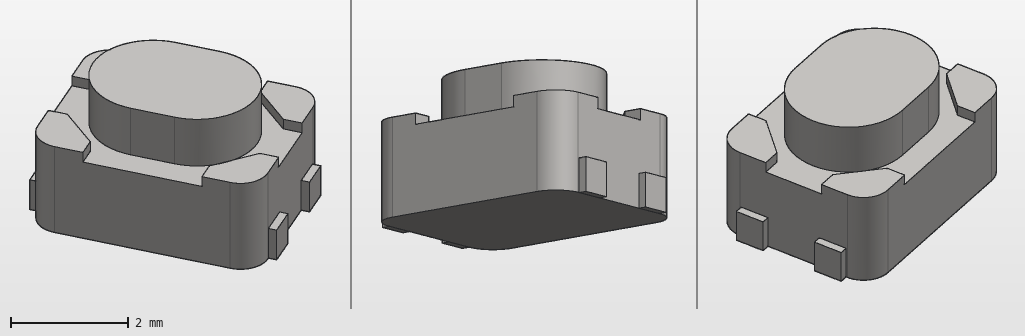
import cadquery as cq

total_length = 4.5
housing_width = 3.2
total_height = 2.5

housing_length = 4.2
housing_height = 1.75
corner_radius = 0.5
channel_depth = 0.2
channel_width_x = 2.17
channel_width_y = 1.145
pad_chamfer = 0.67

button_length = 3.0
button_width = 2.2

terminal_width = 0.55
terminal_height = 0.608
terminal_pitch = 1.6

floor_height = housing_height - channel_depth
button_height = total_height - floor_height
terminal_thickness = (total_length - housing_length) / 2
terminal_offset = (housing_length + terminal_thickness) / 2


def corner_pad_prism(x_side, y_side):
    """Pad with a chamfered inner corner, in the quadrant given by the signs."""
    inner_x = channel_width_x / 2
    inner_y = channel_width_y / 2
    outer_x = housing_length / 2
    outer_y = housing_width / 2
    outline = [
        (inner_x, outer_y),
        (inner_x, inner_y + pad_chamfer),
        (inner_x + pad_chamfer, inner_y),
        (outer_x, inner_y),
        (outer_x, outer_y),
    ]
    return (
        cq.Workplane("XY")
        .workplane(offset=floor_height)
        .polyline([(x_side * x, y_side * y) for x, y in outline])
        .close()
        .extrude(channel_depth)
    )


def make_housing():
    """Rounded block whose top is lowered everywhere except at four corner pads."""
    block = (
        cq.Workplane("XY")
        .rect(housing_length, housing_width)
        .extrude(housing_height)
        .edges("|Z")
        .fillet(corner_radius)
    )
    channel = (
        cq.Workplane("XY")
        .workplane(offset=floor_height)
        .rect(housing_length, housing_width)
        .extrude(channel_depth)
    )
    for x_side in (-1, 1):
        for y_side in (-1, 1):
            channel = channel.cut(corner_pad_prism(x_side, y_side))
    return block.cut(channel)


def make_button():
    """Round-ended button standing on the recessed top of the housing."""
    return (
        cq.Workplane("XY")
        .workplane(offset=floor_height)
        .slot2D(button_length, button_width)
        .extrude(button_height)
    )


def make_terminal(x_side, y_side):
    """Solder terminal against one end face of the housing, level with its base."""
    return (
        cq.Workplane("XY")
        .center(x_side * terminal_offset, y_side * terminal_pitch / 2)
        .rect(terminal_thickness, terminal_width)
        .extrude(terminal_height)
    )


housing = make_housing()
button = make_button()
terminals = []
for x_side in (-1, 1):
    for y_side in (-1, 1):
        terminals.append(make_terminal(x_side, y_side).val())

result = cq.Compound.makeCompound([housing.val(), button.val(), *terminals])